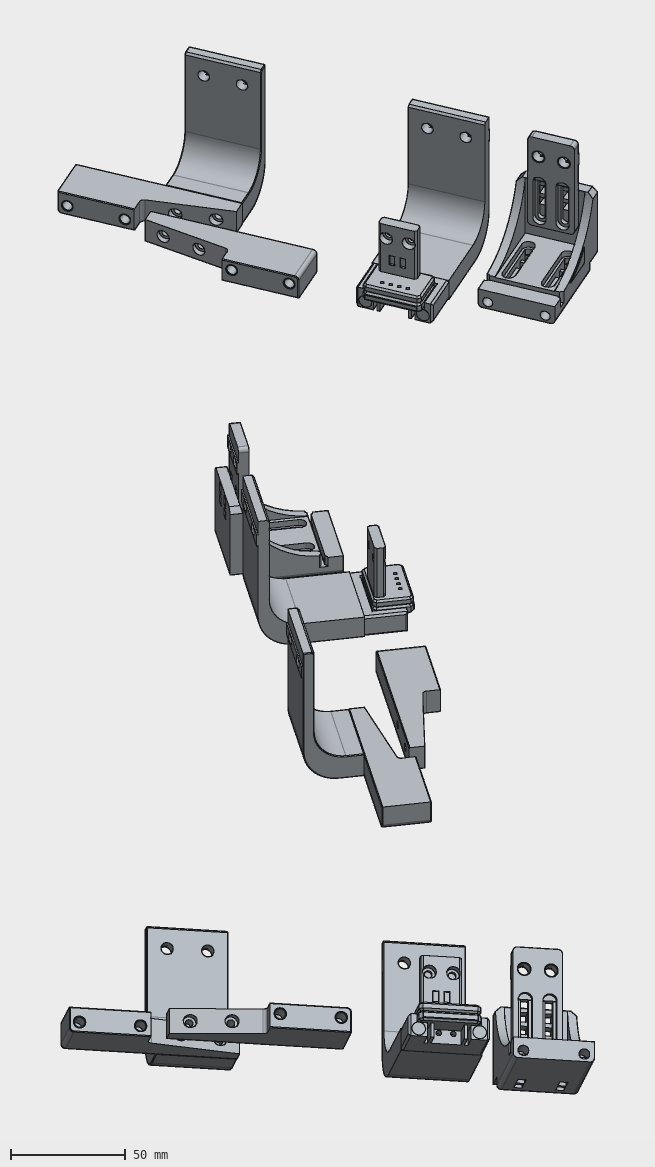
import cadquery as cq
import math

overall_height = 67.72
mount_width = 36.0
rail_screw_diameter = 5.4
rail_hole_height = overall_height - 10.0
key_height = 6.0
key_projection = 0.7
insert_diameter = 4.7
insert_depth = 8.0
insert_edge_offset = 4.5
insert_height = 4.75
screw_diameter = 3.4
screw_head_diameter = 6.0
slice_height = 11.5
raised_bottom = 1.25

bracket_back = 70.5
bracket_thickness = 5.0
bracket_front = bracket_back - bracket_thickness
bracket_inner_radius = 14.0
bracket_outer_radius = 16.0
bracket_top_chamfer = 1.0
edge_chamfer = 0.4
bracket_hole_inset = 9.0
arm_bracket_left = 42.0
arm_bracket_end = 43.5
dock_bracket_left = 147.0
dock_bracket_end = 23.25

arm_length = 78.0
arm_depth = 22.0
arm_block_length = mount_width
arm_tip_depth = 7.0
arm_root_depth = 14.0
arm_inner_fillet = 2.0
arm_end_fillet = 2.0
arm_insert_rise = 1.0
arm_insert_rim = 5.4
arm_rim_depth = 0.4
arm_hole_inset = 9.0
arm_head_depth = 3.0
right_arm_left = 43.25
right_arm_back = 23.25

dock_front = 4.0
dock_chamfer = 1.0
magnet_diameter = 6.0
magnet_length = 3.0
dock_middle = dock_bracket_left + mount_width / 2
dock_recess_width = 28.4
dock_recess_back = 19.25
dock_recess_floor = 7.75
dock_slot_width = 13.3
dock_slot_back = 12.0
relief_offset = 8.9
relief_width = 1.6

probe_width = 27.4
probe_front = 0.5
probe_back = 18.75
probe_waist = 12.3
probe_top = 16.2
probe_corner_chamfer = 1.5
probe_rim_chamfer = 0.9
probe_lip_bottom = 8.9
probe_lip_top = 11.2
pin_hole_diameter = 1.6
pin_hole_count = 4
pin_hole_pitch = 4.0
pin_hole_y = 5.2
pin_hole_depth = 3.0
post_middle = 163.1
post_width = 18.0
post_front = 12.5
post_thickness = 5.0
post_top = 42.0
post_chamfer = 1.0
post_hole_spacing = 10.6
post_hole_height = 34.6
post_head_depth = 3.5
post_pocket_width = 2.6
post_pocket_height = 5.0
post_pocket_spacing = 5.0
post_pocket_middle = 23.4
post_pocket_depth = 1.0
switch_hole_diameter = 2.38
switch_hole_spacing = 6.5
switch_hole_height = 6.2
switch_hole_depth = 4.0

cradle_left = 196.75
cradle_middle = cradle_left + mount_width / 2
cradle_back = 73.5
cradle_wall = 5.0
wall_front = cradle_back - cradle_wall
cradle_top = 41.2
cradle_corner = 2.5
wall_bottom = 6.85
under_step_y = 64.5
rib_thickness = 4.0
rib_radius = 38.0
rib_foot_y = 31.6
rib_foot_z = 11.8
groove_back = 32.9
groove_front = 31.1
groove_floor = 6.0
floor_height = 11.5
bar_top = 10.75
bar_front = 23.25
bar_bottom_fillet = 2.0
notch_diameter = 3.6
floor_slot_offset = 9.25
floor_slot_middle = 48.9
floor_slot_travel = 22.7
floor_slot_width = 3.6
floor_slot_head_width = 6.0
floor_slot_head_depth = 3.0
floor_slot_depth = 6.0
floor_windows = ((50.6, 55.2), (57.0, 61.0))
wall_windows = ((29.0, 32.8), (34.8, 39.2))
wall_window_width = 3.6
panel_front = 40.8
panel_back = 57.0
panel_margin = 1.0
panel_projection = 0.5

plate_width = 22.0
plate_front = 63.75
plate_bottom = 20.2
plate_corner = 2.0
plate_hole_offset = 6.0
plate_hole_rim = 6.0
plate_rim_depth = 0.3
plate_slot_offset = 5.45
plate_slot_bottom = 21.6
plate_slot_top = 46.8
plate_slot_head_width = 6.2
plate_slot_head_depth = 2.5
plate_slot_shallow_depth = 1.5
plate_slot_width = 3.4
plate_slot_step = 44.0


def block(x0, x1, y0, y1, z0, z1):
    """Box between two opposite corners."""
    return cq.Workplane("XY").box(x1 - x0, y1 - y0, z1 - z0, centered=False).translate((x0, y0, z0))


def hole_along_y(x, z, diameter, y_front, depth):
    """Cutter running from y_front toward the back."""
    return cq.Workplane("XZ", origin=(x, y_front, z)).circle(diameter / 2).extrude(-depth)


def bracket(left, front_end, bottom, side_chamfer=0):
    """J-shaped rail bracket: upright plate, round bend and thick horizontal leg."""
    bend_middle_y = bracket_front - bracket_inner_radius
    bend_middle_z = slice_height + bracket_inner_radius
    inner_reach = bracket_inner_radius * math.sqrt(0.5)
    outer_inset = bracket_outer_radius * (1 - math.sqrt(0.5))
    body = (
        cq.Workplane("YZ", origin=(left, 0, 0))
        .moveTo(bracket_back, overall_height)
        .lineTo(bracket_back, bottom + bracket_outer_radius)
        .threePointArc(
            (bracket_back - outer_inset, bottom + outer_inset),
            (bracket_back - bracket_outer_radius, bottom),
        )
        .lineTo(front_end, bottom)
        .lineTo(front_end, slice_height)
        .lineTo(bend_middle_y, slice_height)
        .threePointArc(
            (bend_middle_y + inner_reach, bend_middle_z - inner_reach),
            (bracket_front, bend_middle_z),
        )
        .lineTo(bracket_front, overall_height - bracket_top_chamfer)
        .lineTo(bracket_front + bracket_top_chamfer, overall_height)
        .close()
        .extrude(mount_width)
    )
    right = left + mount_width
    if side_chamfer:
        body = body.faces("<X or >X").edges("not <Y").chamfer(side_chamfer)
    body = body.union(rail_key(left + side_chamfer, right - side_chamfer, bracket_back))
    for x in (left + bracket_hole_inset, right - bracket_hole_inset):
        body = body.cut(hole_along_y(x, rail_hole_height, rail_screw_diameter, 0, cradle_back))
    return body


def rail_key(left, right, back):
    """Rib on the back of an upright at the height of the rail screws."""
    half = key_height / 2
    return block(left, right, back, back + key_projection, rail_hole_height - half, rail_hole_height + half)


def arm(left, back):
    """Offset arm: tapered tip at the left, mounting block at the right."""
    right = left + arm_length
    root = right - arm_block_length
    front = back - arm_depth
    body = (
        cq.Workplane("XY")
        .moveTo(left, back)
        .lineTo(right, back)
        .lineTo(right, front)
        .lineTo(root, front)
        .lineTo(root, back - arm_root_depth)
        .lineTo(left, back - arm_tip_depth)
        .close()
        .extrude(slice_height)
    )
    inner_corner = cq.selectors.NearestToPointSelector((root, back - arm_root_depth, slice_height / 2))
    body = body.edges(inner_corner).fillet(arm_inner_fillet)
    body = body.edges(">X and >Z").fillet(arm_end_fillet)
    body = body.faces("<Y or >Y").edges("|X").chamfer(edge_chamfer)

    middle = slice_height / 2
    for x in (root + insert_edge_offset, right - insert_edge_offset):
        body = body.cut(hole_along_y(x, middle + arm_insert_rise, insert_diameter, front, insert_depth))
        body = body.cut(hole_along_y(x, middle + arm_insert_rise, arm_insert_rim, front, arm_rim_depth))

    taper = (arm_root_depth - arm_tip_depth) / (root - left)
    for inset in (arm_hole_inset, mount_width - arm_hole_inset):
        face_y = back - arm_tip_depth - taper * inset
        x = left + inset
        body = body.cut(hole_along_y(x, middle, screw_diameter, front, arm_depth))
        body = body.cut(hole_along_y(x, middle, screw_head_diameter, front, face_y + arm_head_depth - front))
    return body


def flipped_arm():
    """The same arm turned half a turn about Y, fixed to the short bracket."""
    turned = arm(-arm_bracket_left - mount_width, arm_bracket_end)
    return turned.rotate((0, 0, 0), (0, 1, 0), 180).translate((0, 0, slice_height))


def magnets():
    """Round magnets in the front face of the dock."""
    right = dock_bracket_left + mount_width
    return [
        hole_along_y(x, insert_height, magnet_diameter, dock_front, magnet_length)
        for x in (dock_bracket_left + insert_edge_offset, right - insert_edge_offset)
    ]


def dock():
    """Dock block with a recess for the probe and a slot open to the front."""
    right = dock_bracket_left + mount_width
    body = block(dock_bracket_left, right, dock_front, dock_bracket_end, raised_bottom, slice_height)
    body = body.edges("|Y").chamfer(dock_chamfer)
    body = body.faces("<Y").edges("|Z").chamfer(dock_chamfer)
    half_recess = dock_recess_width / 2
    half_slot = dock_slot_width / 2
    body = body.cut(
        block(
            dock_middle - half_recess, dock_middle + half_recess,
            dock_front, dock_recess_back, dock_recess_floor, slice_height,
        )
    )
    body = body.cut(
        block(
            dock_middle - half_slot, dock_middle + half_slot,
            dock_front, dock_slot_back, raised_bottom, slice_height,
        )
    )
    for side in (-1, 1):
        x = dock_middle + side * switch_hole_spacing / 2
        switch_hole = hole_along_y(
            x, switch_hole_height, switch_hole_diameter, dock_slot_back, switch_hole_depth
        )
        body = body.cut(switch_hole)
        middle = dock_middle + side * relief_offset
        body = body.cut(
            block(
                middle - relief_width / 2, middle + relief_width / 2,
                dock_front, dock_slot_back, raised_bottom, dock_recess_floor,
            )
        )
    for magnet in magnets():
        body = body.cut(magnet)
    return body


def probe():
    """Probe housing resting in the dock, with its front lip and upright post."""
    half = probe_width / 2
    left = dock_middle - half
    right = dock_middle + half
    body = probe_layer(left, right, probe_waist, probe_top)
    body = body.union(probe_layer(left, right, dock_recess_floor, probe_waist))
    body = body.union(
        block(
            left + probe_corner_chamfer, right - probe_corner_chamfer,
            0, probe_back / 2, probe_lip_bottom, probe_lip_top,
        )
    )
    for step in range(pin_hole_count):
        x = dock_middle + (step - (pin_hole_count - 1) / 2) * pin_hole_pitch
        pin_hole = cq.Workplane("XY", origin=(x, pin_hole_y, probe_top)).circle(pin_hole_diameter / 2)
        body = body.cut(pin_hole.extrude(-pin_hole_depth))
    return body.union(probe_post())


def probe_layer(left, right, bottom, top):
    """Half of the probe housing; the chamfered rims leave a groove between the halves."""
    layer = block(left, right, probe_front, probe_back, bottom, top)
    layer = layer.edges("|Z").chamfer(probe_corner_chamfer)
    return layer.faces("<Z or >Z").edges().chamfer(probe_rim_chamfer)


def probe_post():
    """Chamfered post with two counterbored screw holes and two shallow pockets."""
    half = post_width / 2
    post = block(
        post_middle - half, post_middle + half,
        post_front, post_front + post_thickness, probe_top - probe_rim_chamfer, post_top,
    )
    post = post.edges("|Z").chamfer(post_chamfer)
    for side in (-1, 1):
        x = post_middle + side * post_hole_spacing / 2
        post = post.cut(hole_along_y(x, post_hole_height, screw_diameter, post_front, post_thickness))
        post = post.cut(hole_along_y(x, post_hole_height, screw_head_diameter, post_front, post_head_depth))
        pocket_x = post_middle + side * post_pocket_spacing / 2
        post = post.cut(
            block(
                pocket_x - post_pocket_width / 2, pocket_x + post_pocket_width / 2,
                post_front, post_front + post_pocket_depth,
                post_pocket_middle - post_pocket_height / 2, post_pocket_middle + post_pocket_height / 2,
            )
        )
    return post


def cradle():
    """Cradle with two curved ribs, a slotted floor, a back wall and a drilled front bar."""
    right = cradle_left + mount_width
    centre_z = rib_foot_z + rib_radius
    top_y = rib_foot_y + math.sqrt(rib_radius**2 - (centre_z - cradle_top) ** 2)
    groove_back_z = rib_edge(rib_radius, groove_back)
    reach = rib_radius * math.sqrt(0.5)
    body = (
        cq.Workplane("YZ", origin=(cradle_left, 0, 0))
        .moveTo(cradle_back, cradle_top)
        .lineTo(cradle_back, wall_bottom)
        .lineTo(under_step_y, wall_bottom)
        .lineTo(under_step_y, raised_bottom)
        .lineTo(bar_front, raised_bottom)
        .lineTo(bar_front, bar_top)
        .lineTo(groove_front, bar_top)
        .lineTo(groove_front, groove_floor)
        .lineTo(groove_back, groove_floor)
        .lineTo(groove_back, groove_back_z)
        .threePointArc((rib_foot_y + reach, centre_z - reach), (top_y, cradle_top))
        .close()
        .extrude(mount_width)
    )
    body = body.edges("|Y and >Z").chamfer(cradle_corner)
    body = body.edges("|Y and <Z").fillet(bar_bottom_fillet)
    body = body.cut(
        block(
            cradle_left + rib_thickness, right - rib_thickness,
            groove_back, wall_front, floor_height, cradle_top,
        )
    )
    for x in (cradle_left + insert_edge_offset, right - insert_edge_offset):
        body = body.cut(hole_along_y(x, insert_height, insert_diameter, bar_front, insert_depth))
    notch_y = (groove_front + groove_back) / 2
    for x in (cradle_left, right):
        notch = cq.Workplane("XY", origin=(x, notch_y, groove_floor)).circle(notch_diameter / 2)
        body = body.cut(notch.extrude(cradle_top - groove_floor))
    for side in (-1, 1):
        body = body.cut(floor_slot(cradle_middle + side * floor_slot_offset))
        x = cradle_middle + side * plate_slot_offset
        half = wall_window_width / 2
        for bottom, top in wall_windows:
            body = body.cut(block(x - half, x + half, wall_front, cradle_back, bottom, top))
    return body.union(cradle_side_panel(right))


def floor_slot(x):
    """Screw slot in the cradle floor with a wider head recess and two openings through its bottom."""
    top = cq.Workplane("XY", origin=(x, floor_slot_middle, floor_height))
    cutter = top.slot2D(floor_slot_travel + floor_slot_head_width, floor_slot_head_width, 90)
    cutter = cutter.extrude(-floor_slot_head_depth)
    narrow = top.slot2D(floor_slot_travel + floor_slot_width, floor_slot_width, 90).extrude(-floor_slot_depth)
    cutter = cutter.union(narrow)
    half = floor_slot_width / 2
    for front, back in floor_windows:
        cutter = cutter.union(block(x - half, x + half, front, back, raised_bottom, floor_height))
    return cutter


def rib_edge(radius, y):
    """Height at y of the arc of this radius about the centre of the rib curve."""
    return rib_foot_z + rib_radius - math.sqrt(radius**2 - (y - rib_foot_y) ** 2)


def cradle_side_panel(right):
    """Raised panel on the right side, with its upper edge parallel to the rib curve."""
    radius = rib_radius + panel_margin
    middle = (panel_front + panel_back) / 2
    lowest = rib_edge(radius, panel_front)
    return (
        cq.Workplane("YZ", origin=(right - panel_projection, 0, 0))
        .moveTo(panel_front, lowest)
        .threePointArc((middle, rib_edge(radius, middle)), (panel_back, rib_edge(radius, panel_back)))
        .lineTo(panel_back, lowest)
        .close()
        .extrude(2 * panel_projection)
    )


def plate():
    """Upright sliding plate with its rail key, screw holes and two adjustment slots."""
    half = plate_width / 2
    left = cradle_middle - half
    right = cradle_middle + half
    body = block(left, right, plate_front, wall_front, plate_bottom, overall_height)
    body = body.edges("|Y").fillet(plate_corner)
    body = body.union(rail_key(left, right, wall_front))
    thickness = wall_front - plate_front
    for side in (-1, 1):
        x = cradle_middle + side * plate_hole_offset
        body = body.cut(hole_along_y(x, rail_hole_height, rail_screw_diameter, plate_front, 2 * thickness))
        body = body.cut(hole_along_y(x, rail_hole_height, plate_hole_rim, plate_front, plate_rim_depth))
        body = body.cut(plate_slot(cradle_middle + side * plate_slot_offset, thickness))
    return body


def plate_slot(x, thickness):
    """Rounded recess, deeper below its upper end, with a narrower slot through its bottom."""
    length = plate_slot_top - plate_slot_bottom
    middle = (plate_slot_top + plate_slot_bottom) / 2
    face = cq.Workplane("XZ", origin=(x, plate_front, middle))
    shallow = face.slot2D(length, plate_slot_head_width, 90).extrude(-plate_slot_shallow_depth)
    deep = face.slot2D(length, plate_slot_head_width, 90).extrude(-plate_slot_head_depth)
    narrow_length = length - plate_slot_head_width + plate_slot_width
    narrow = face.slot2D(narrow_length, plate_slot_width, 90).extrude(-thickness)
    below_step = block(
        x - plate_width, x + plate_width,
        plate_front, wall_front, plate_bottom, plate_slot_step,
    )
    return shallow.union(deep.union(narrow).intersect(below_step))


result = cq.Compound.makeCompound(
    [
        bracket(arm_bracket_left, arm_bracket_end, 0, edge_chamfer).val(),
        flipped_arm().val(),
        arm(right_arm_left, right_arm_back).val(),
        bracket(dock_bracket_left, dock_bracket_end, raised_bottom).val(),
        dock().val(),
        *[magnet.val() for magnet in magnets()],
        probe().val(),
        cradle().val(),
        plate().val(),
    ]
)